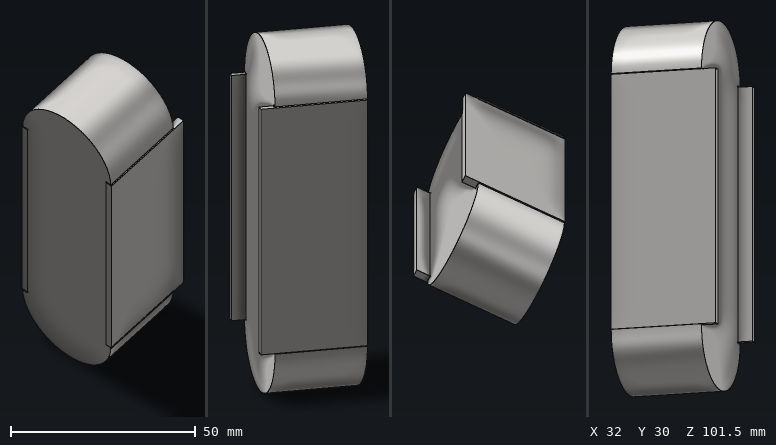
import cadquery as cq

total_height = 101.5
total_width = 32.0
total_depth = 30.0

core_width = 31.5
core_depth = 26.0

plate_thickness = 2.0
plate_height = total_height - core_width
end_clearance = 0.25

front_y = -total_depth / 2
plate_center_x = (total_width - plate_thickness) / 2
plate_top_z = plate_height / 2
left, right = -1, 1
bottom_clearances = {left: end_clearance, right: 0}


def make_block(side, depth, bottom_z, top_z):
    """Upright block at one side of the core, starting at the front face."""
    height = top_z - bottom_z
    return (
        cq.Workplane("XY")
        .box(plate_thickness, depth, height)
        .translate((side * plate_center_x, front_y + depth / 2, bottom_z + height / 2))
    )


def make_core():
    """Stadium-shaped core with a recess through its depth for each plate."""
    core = (
        cq.Workplane("XZ", origin=(0, front_y, 0))
        .slot2D(total_height, core_width, 90)
        .extrude(-core_depth)
    )
    recess_top_z = plate_top_z + end_clearance
    for side, bottom_clearance in bottom_clearances.items():
        recess_bottom_z = -plate_top_z - bottom_clearance
        core = core.cut(make_block(side, core_depth, recess_bottom_z, recess_top_z))
    return core


def make_side_plate(side):
    """Flat plate that stands out behind the core."""
    return make_block(side, total_depth, -plate_top_z, plate_top_z)


core = make_core()
side_plates = [make_side_plate(side) for side in (left, right)]

result = cq.Compound.makeCompound([core.val(), *[plate.val() for plate in side_plates]])